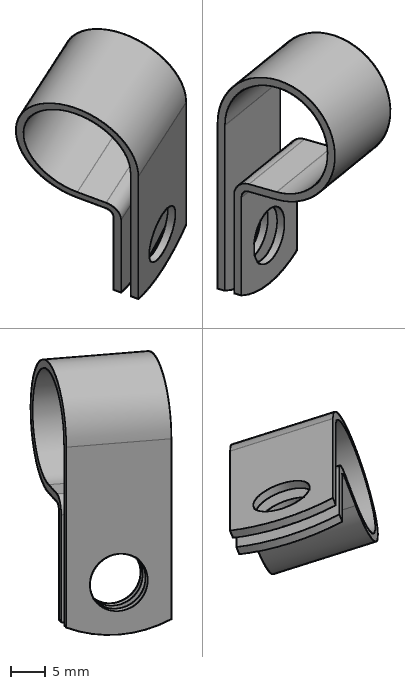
import cadquery as cq

height = 39.2
width = 15.88
loop_diameter = 19.88
thickness = 1.25

short_leg_face_x = 7.15
bend_inner_radius = 1.2
hole_diameter = 8.7
hole_above_tip = 7.95
tip_arc_depth = 1.73

outer_radius = loop_diameter / 2
inner_radius = outer_radius - thickness
bend_outer_radius = bend_inner_radius + thickness
short_leg_back_x = short_leg_face_x - thickness
bend_x = short_leg_face_x - bend_outer_radius
bend_z = -inner_radius - bend_outer_radius
tip_z = outer_radius - height
corner_z = tip_z + tip_arc_depth
diagonal = 0.5 ** 0.5


def strap():
    """Bent strip: long leg, three-quarter loop, bend and short leg."""
    profile = (
        cq.Workplane("XZ")
        .moveTo(outer_radius, tip_z)
        .lineTo(outer_radius, 0)
        .threePointArc((-outer_radius * diagonal, outer_radius * diagonal), (0, -outer_radius))
        .lineTo(bend_x, -outer_radius)
        .threePointArc(
            (bend_x + bend_inner_radius * diagonal, bend_z + bend_inner_radius * diagonal),
            (short_leg_back_x, bend_z),
        )
        .lineTo(short_leg_back_x, tip_z)
        .lineTo(short_leg_face_x, tip_z)
        .lineTo(short_leg_face_x, bend_z)
        .threePointArc(
            (bend_x + bend_outer_radius * diagonal, bend_z + bend_outer_radius * diagonal),
            (bend_x, -inner_radius),
        )
        .lineTo(0, -inner_radius)
        .threePointArc((-inner_radius * diagonal, inner_radius * diagonal), (inner_radius, 0))
        .lineTo(inner_radius, tip_z)
        .close()
    )
    return profile.extrude(width / 2, both=True)


def side_envelope():
    """Block whose lower edge is the shallow arc that rounds the leg tips."""
    return (
        cq.Workplane("YZ")
        .moveTo(-width / 2, outer_radius)
        .lineTo(-width / 2, corner_z)
        .threePointArc((0, tip_z), (width / 2, corner_z))
        .lineTo(width / 2, outer_radius)
        .close()
        .extrude(outer_radius, both=True)
    )


def mounting_hole():
    """Cylinder passing through both legs."""
    return (
        cq.Workplane("YZ")
        .center(0, tip_z + hole_above_tip)
        .circle(hole_diameter / 2)
        .extrude(outer_radius)
    )


result = strap().intersect(side_envelope()).cut(mounting_hole())